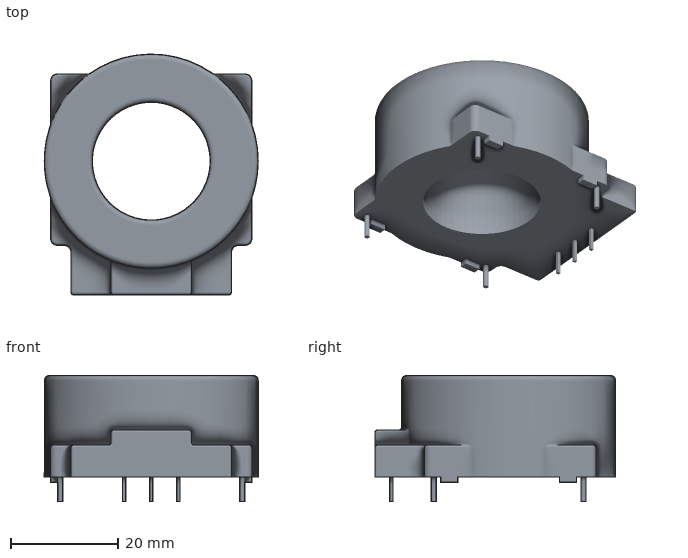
import cadquery as cq
import math

ring_radius = 20.0
bore_radius = 11.0
ring_height = 19.0
ring_rim_radius = 1.0

flange_half_width = 18.8
flange_back_y = 16.3
flange_front_y = -15.75
flange_height = 6.0
flange_corner_radius = 1.3

block_half_width = 15.0
block_front_y = -25.0
raised_half_width = 7.5
raised_height = 8.8

edge_radius = 0.5

pin_length = 4.6
mount_pin_diameter = 1.0
mount_pin_x = 17.0
mount_pin_y = 14.0

signal_pin_side = 0.64
signal_pin_pitch = 5.08
signal_pin_count = 3
signal_pin_y = -21.9

foot_height = 1.0
foot_length = 3.2
foot_width = 1.5
foot_y = 11.1

pick_margin = 0.01


def make_block(half_width, y_min, y_max, height):
    """Box centred on X = 0 that stands on Z = 0."""
    block = cq.Workplane("XY").box(2 * half_width, y_max - y_min, height, centered=(True, False, False))
    return block.translate((0, y_min, 0))


def make_base():
    """Flange and terminal block, rounded at the corners and along the upper edges."""
    flange = make_block(flange_half_width, flange_front_y, flange_back_y, flange_height)
    block = make_block(block_half_width, block_front_y, 0, flange_height)
    base = flange.union(block)
    base = base.edges("|Z").edges("not <Y").fillet(flange_corner_radius)
    base = base.edges("|Z and <Y").fillet(edge_radius)

    base = base.union(make_block(raised_half_width, block_front_y, 0, raised_height))
    base_edges = base.edges().vals()
    upper_edges = [
        edge
        for edge in base_edges
        if edge.Center().z > flange_height - pick_margin and abs(edge.Center().y) > pick_margin
    ]
    return base.newObject(upper_edges).fillet(edge_radius)


def lies_on_ring(edge):
    """True for an edge that follows the outer wall of the ring."""
    points = edge.positions([0, 0.3, 0.7, 1])
    return all(abs(math.hypot(point.x, point.y) - ring_radius) < pick_margin for point in points)


def make_housing():
    """Base and ring joined by a small fillet, with the bore and its rounded rims."""
    ring = cq.Workplane("XY").circle(ring_radius).extrude(ring_height)
    housing = make_base().union(ring)
    junction_bottom = flange_height - edge_radius - pick_margin
    junction_top = raised_height + pick_margin
    junction_edges = [
        edge
        for edge in housing.edges().vals()
        if lies_on_ring(edge) and junction_bottom < edge.Center().z < junction_top
    ]
    housing = housing.newObject(junction_edges).fillet(edge_radius)
    bore = cq.Workplane("XY").circle(bore_radius).extrude(ring_height)
    return housing.cut(bore).faces(">Z").edges().fillet(ring_rim_radius)


def make_mount_pins():
    """Four round pins hanging from the flange corners."""
    pins = cq.Workplane("XY").rect(2 * mount_pin_x, 2 * mount_pin_y, forConstruction=True).vertices()
    return pins.circle(mount_pin_diameter / 2).extrude(-pin_length)


def make_signal_pins():
    """Row of square pins hanging from the terminal block."""
    pins = cq.Workplane("XY").center(0, signal_pin_y).rarray(signal_pin_pitch, 1, signal_pin_count, 1)
    return pins.rect(signal_pin_side, signal_pin_side).extrude(-pin_length)


def make_feet():
    """Four standoff feet flush with the sides of the flange."""
    foot_x = flange_half_width - foot_width / 2
    feet = cq.Workplane("XY").rect(2 * foot_x, 2 * foot_y, forConstruction=True).vertices()
    return feet.rect(foot_width, foot_length).extrude(-foot_height)


result = make_housing().union(make_feet()).union(make_mount_pins()).union(make_signal_pins())